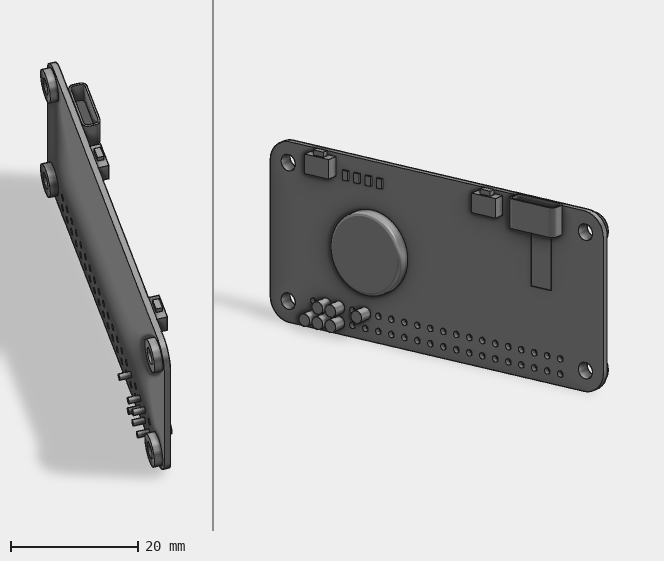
import cadquery as cq

BOARD_LENGTH = 65.0
BOARD_HEIGHT = 30.0
BOARD_THICKNESS = 1.05
BOARD_CORNER_RADIUS = 3.8
BOARD_TOP = BOARD_HEIGHT / 2

MOUNT_INSET = 3.5
MOUNT_HOLE_DIAMETER = 2.7
SPACER_DIAMETER = 5.45
SPACER_HEIGHT = 1.35

HEADER_PITCH = 2.55
HEADER_COLUMNS = 20
HEADER_ROWS = 2
HEADER_LOWER_ROW_Z = -13.05
HEADER_HOLE_DIAMETER = 1.05
PIN_PROTRUSION = 1.95
PIN_BODY_DIAMETER = 2.1
PIN_BODY_HEIGHT = 2.4
PIN_PLACES = [(15, 1), (17, 1), (18, 1), (17, 0), (18, 0), (19, 0)]

CONNECTOR_X = -20.5
CONNECTOR_WIDTH = 9.0
CONNECTOR_THICKNESS = 3.0
CONNECTOR_LENGTH = 4.95
CONNECTOR_OVERHANG = 0.4
CONNECTOR_CORNER_RADIUS = 1.0
CONNECTOR_WALL = 0.3
CONNECTOR_CAVITY_DEPTH = 3.9

BUTTON_X_PLACES = (-10.5, 22.05)
BUTTON_WIDTH = 4.7
BUTTON_THICKNESS = 1.9
BUTTON_LENGTH = 3.25
BUTTON_RECESS = 0.65
PLUNGER_WIDTH = 1.95
PLUNGER_THICKNESS = 1.05
PLUNGER_OVERHANG = 0.2

CELL_X = 12.55
CELL_DIAMETER = 13.8
CELL_HEIGHT = 2.0
CELL_EDGE_RADIUS = 0.6

CHIP_HEIGHT = 0.2
RESISTOR_HEIGHT = 0.4
CHIP_WIDTH = 3.9
CHIP_BOTTOM_Z = 0.5
RESISTOR_WIDTH = 1.05
RESISTOR_LENGTH = 1.6
RESISTOR_PITCH = 2.2
RESISTOR_COUNT = 4
RESISTOR_ROW_X = 14.3
RESISTOR_Z = 11.7


def posts(places, diameter, y_start, y_end):
    """Round posts along Y at the given (x, z) places, from y_start to the larger y_end."""
    plane = cq.Workplane("XZ", origin=(0, y_start, 0))
    return plane.pushPoints(places).circle(diameter / 2).extrude(y_start - y_end)


def block(x_center, width, y_start, thickness, z_bottom, z_top):
    """Box centred on x_center, standing from y_start toward +Y."""
    box = cq.Workplane("XY").box(width, thickness, z_top - z_bottom, centered=(True, False, False))
    return box.translate((x_center, y_start, z_bottom))


def header_place(column, row):
    """(x, z) of a header hole, counted from the lower left one."""
    x = (column - (HEADER_COLUMNS - 1) / 2) * HEADER_PITCH
    return x, HEADER_LOWER_ROW_Z + row * HEADER_PITCH


def mount_places():
    x = BOARD_LENGTH / 2 - MOUNT_INSET
    z = BOARD_TOP - MOUNT_INSET
    return [(-x, -z), (x, -z), (-x, z), (x, z)]


def make_board():
    board = block(0, BOARD_LENGTH, 0, BOARD_THICKNESS, -BOARD_TOP, BOARD_TOP)
    board = board.edges("|Y").fillet(BOARD_CORNER_RADIUS)
    board = board.union(posts(mount_places(), SPACER_DIAMETER, -SPACER_HEIGHT, BOARD_THICKNESS))
    board = board.cut(posts(mount_places(), MOUNT_HOLE_DIAMETER, -SPACER_HEIGHT, BOARD_THICKNESS))
    header_holes = [
        header_place(column, row)
        for column in range(HEADER_COLUMNS)
        for row in range(HEADER_ROWS)
    ]
    return board.cut(posts(header_holes, HEADER_HOLE_DIAMETER, 0, BOARD_THICKNESS))


def make_spring_pins():
    places = [header_place(column, row) for column, row in PIN_PLACES]
    pins = posts(places, HEADER_HOLE_DIAMETER, -PIN_PROTRUSION, BOARD_THICKNESS)
    bodies = posts(places, PIN_BODY_DIAMETER, BOARD_THICKNESS, BOARD_THICKNESS + PIN_BODY_HEIGHT)
    return pins.union(bodies)


def make_connector():
    top = BOARD_TOP + CONNECTOR_OVERHANG
    shell = block(
        CONNECTOR_X, CONNECTOR_WIDTH, BOARD_THICKNESS, CONNECTOR_THICKNESS, top - CONNECTOR_LENGTH, top
    ).edges("|Z").fillet(CONNECTOR_CORNER_RADIUS)
    cavity = block(
        CONNECTOR_X,
        CONNECTOR_WIDTH - 2 * CONNECTOR_WALL,
        BOARD_THICKNESS + CONNECTOR_WALL,
        CONNECTOR_THICKNESS - 2 * CONNECTOR_WALL,
        top - CONNECTOR_CAVITY_DEPTH,
        top,
    ).edges("|Z").fillet(CONNECTOR_CORNER_RADIUS - CONNECTOR_WALL)
    return shell.cut(cavity)


def make_button(x):
    body_top = BOARD_TOP - BUTTON_RECESS
    body = block(x, BUTTON_WIDTH, BOARD_THICKNESS, BUTTON_THICKNESS, body_top - BUTTON_LENGTH, body_top)
    plunger_y = BOARD_THICKNESS + (BUTTON_THICKNESS - PLUNGER_THICKNESS) / 2
    plunger = block(
        x, PLUNGER_WIDTH, plunger_y, PLUNGER_THICKNESS, body_top, BOARD_TOP + PLUNGER_OVERHANG
    )
    return body.union(plunger)


def make_coin_cell():
    cell = posts([(CELL_X, 0)], CELL_DIAMETER, BOARD_THICKNESS, BOARD_THICKNESS + CELL_HEIGHT)
    return cell.faces(">Y").edges().fillet(CELL_EDGE_RADIUS)


def make_low_parts():
    connector_bottom = BOARD_TOP + CONNECTOR_OVERHANG - CONNECTOR_LENGTH
    parts = block(
        CONNECTOR_X, CHIP_WIDTH, BOARD_THICKNESS, CHIP_HEIGHT, CHIP_BOTTOM_Z, connector_bottom
    )
    for index in range(RESISTOR_COUNT):
        x = RESISTOR_ROW_X + (index - (RESISTOR_COUNT - 1) / 2) * RESISTOR_PITCH
        parts = parts.union(block(
            x, RESISTOR_WIDTH, BOARD_THICKNESS, RESISTOR_HEIGHT,
            RESISTOR_Z - RESISTOR_LENGTH / 2, RESISTOR_Z + RESISTOR_LENGTH / 2,
        ))
    return parts


result = make_board().union(make_spring_pins()).union(make_connector())
for button_x in BUTTON_X_PLACES:
    result = result.union(make_button(button_x))
result = result.union(make_coin_cell()).union(make_low_parts())